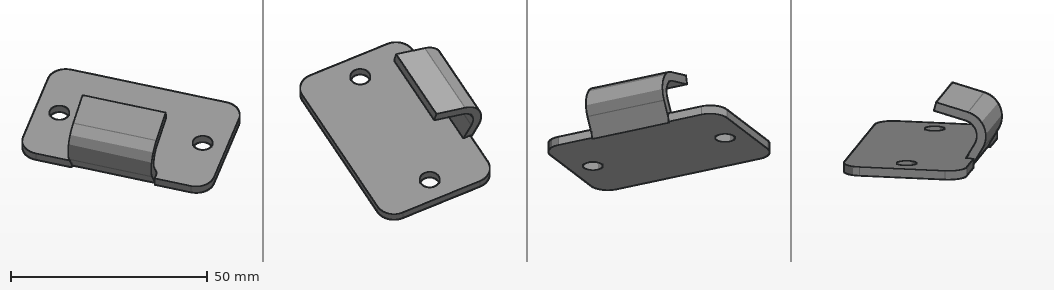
import cadquery as cq
import math

plate_length = 50.8
plate_depth = 31.75
thickness = 2.35
corner_radius = 4.8
hole_diameter = 5.1
hole_spacing = 38.1

hook_width = 22.1
hook_height = 16.65
hook_overhang = 3.15
outer_radius = 6.35
bend_center_z = 8.35
leg_angle = 60.0
arm_angle = 15.0

inner_radius = outer_radius - thickness
front_y = -plate_depth / 2
bend_center_y = front_y - hook_overhang + outer_radius

leg_normal = 270.0 - leg_angle
arm_normal = 90.0 + arm_angle
middle_normal = (leg_normal + arm_normal) / 2


def bend_point(radius, angle):
    """Point (y, z) on a circle around the bend center."""
    turn = math.radians(angle)
    return (bend_center_y + radius * math.cos(turn), bend_center_z + radius * math.sin(turn))


def leg_foot(point):
    """Follow the sloping leg from a bend end down to the plate underside."""
    y, z = point
    return (y + z / math.tan(math.radians(leg_angle)), 0)


def arm_tip(point, length):
    """Follow the upper arm from a bend end to its tip."""
    y, z = point
    rise = math.radians(arm_angle)
    return (y + length * math.cos(rise), z + length * math.sin(rise))


def make_plate():
    hole_places = [(-hole_spacing / 2, 0), (hole_spacing / 2, 0)]
    return (
        cq.Workplane("XY")
        .rect(plate_length, plate_depth)
        .extrude(thickness)
        .edges("|Z")
        .fillet(corner_radius)
        .faces(">Z")
        .workplane(origin=(0, 0, thickness))
        .pushPoints(hole_places)
        .hole(hole_diameter)
    )


outer_leg_end = bend_point(outer_radius, leg_normal)
outer_arm_end = bend_point(outer_radius, arm_normal)
inner_leg_end = bend_point(inner_radius, leg_normal)
inner_arm_end = bend_point(inner_radius, arm_normal)
outer_foot = leg_foot(outer_leg_end)
arm_length = (hook_height - outer_arm_end[1]) / math.sin(math.radians(arm_angle))


def across_hook():
    """YZ sketch plane on the left side of the hook."""
    return cq.Workplane("YZ", origin=(-hook_width / 2, 0, 0))


def make_hook():
    return (
        across_hook()
        .moveTo(*outer_foot)
        .lineTo(*outer_leg_end)
        .threePointArc(bend_point(outer_radius, middle_normal), outer_arm_end)
        .lineTo(*arm_tip(outer_arm_end, arm_length))
        .lineTo(*arm_tip(inner_arm_end, arm_length))
        .lineTo(*inner_arm_end)
        .threePointArc(bend_point(inner_radius, middle_normal), inner_leg_end)
        .lineTo(*leg_foot(inner_leg_end))
        .close()
        .extrude(hook_width)
    )


def make_edge_relief():
    """Strip of the plate edge that is replaced by the sloping foot of the hook."""
    return (
        across_hook()
        .moveTo(front_y, 0)
        .lineTo(*outer_foot)
        .lineTo(outer_foot[0], thickness)
        .lineTo(front_y, thickness)
        .close()
        .extrude(hook_width)
    )


result = make_plate().cut(make_edge_relief()).union(make_hook())